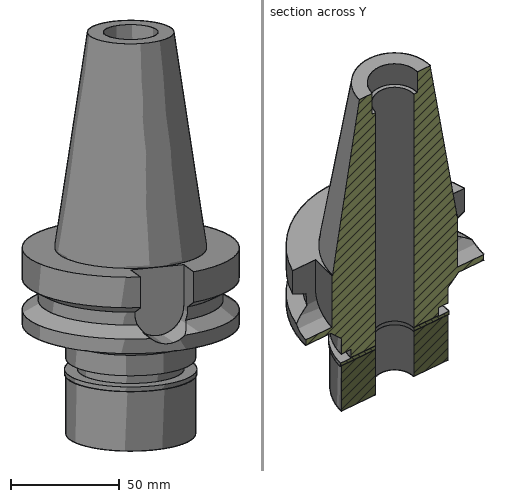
import cadquery as cq

total_height = 191.8
through_bore_radius = 10.65

nut_radius = 30.0
nut_height = 28.5
ring_radius = 30.5
ring_thickness = 2.3
ring_top = nut_height + ring_thickness

neck_radius = 24.5
neck_top = 36.0
collar_radius = nut_radius
collar_top = 45.8
shoulder_radius = 35.9

flange_diameter = 100.0
flange_radius = flange_diameter / 2
flange_bottom = 52.4
lower_rim_top = 59.3
groove_floor_radius = 42.5
groove_floor_bottom = 63.9
groove_floor_top = 70.0
upper_rim_bottom = 74.2
flange_top = 88.8

taper_base_radius = 35.0
taper_tip_radius = 20.0
taper_base = 89.8
tip_bore_radius = 12.56
tip_bore_depth = 13.0

slot_width = 25.9
slot_floor_offset = 35.3
slot_bottom = 56.2


def disc_with_bore(radius, bottom, height):
    """Bored disc centred on the Z axis."""
    return (
        cq.Workplane("XY", origin=(0, 0, bottom))
        .circle(radius)
        .circle(through_bore_radius)
        .extrude(height)
    )


def make_turned_holder():
    """Revolved profile of the shank, flange, taper and stepped bore."""
    profile = [
        (through_bore_radius, ring_top),
        (neck_radius, ring_top),
        (neck_radius, neck_top),
        (collar_radius, neck_top),
        (collar_radius, collar_top),
        (shoulder_radius, flange_bottom),
        (flange_radius, flange_bottom),
        (flange_radius, lower_rim_top),
        (groove_floor_radius, groove_floor_bottom),
        (groove_floor_radius, groove_floor_top),
        (flange_radius, upper_rim_bottom),
        (flange_radius, flange_top),
        (taper_base_radius, flange_top),
        (taper_base_radius, taper_base),
        (taper_tip_radius, total_height),
        (tip_bore_radius, total_height),
        (tip_bore_radius, total_height - tip_bore_depth),
        (through_bore_radius, total_height - tip_bore_depth),
    ]
    return cq.Workplane("XZ").polyline(profile).close().revolve(360, (0, 0), (0, 1))


def make_drive_slot(side):
    """Round-bottomed slot cutter, on the +X side for 1 and the -X side for -1."""
    half_width = slot_width / 2
    arc_center = slot_bottom + half_width
    return (
        cq.Workplane("YZ", origin=(side * slot_floor_offset, 0, 0))
        .moveTo(-half_width, flange_top)
        .lineTo(-half_width, arc_center)
        .threePointArc((0, slot_bottom), (half_width, arc_center))
        .lineTo(half_width, flange_top)
        .close()
        .extrude(side * flange_radius)
    )


def make_holder():
    """Taper holder with its two drive slots."""
    body = make_turned_holder()
    for side in (-1, 1):
        body = body.cut(make_drive_slot(side))
    return body


holder = make_holder()
ring = disc_with_bore(ring_radius, nut_height, ring_thickness)
nut = disc_with_bore(nut_radius, 0, nut_height)

result = cq.Compound.makeCompound([holder.val(), ring.val(), nut.val()])